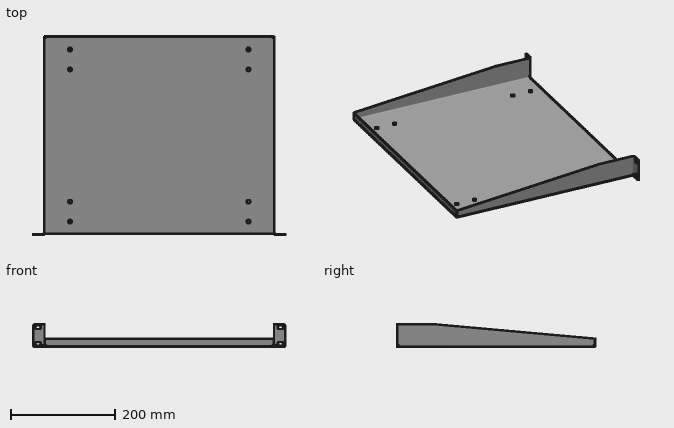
import cadquery as cq

overall_width = 482.8
overall_depth = 381.0
overall_height = 43.5

sheet = 1.5
inner_bend = 2.0
outer_bend = inner_bend + sheet

tray_half_width = 221.0
floor_front = 2.0
rear_height = 16.0
level_top_depth = 74.0
corner_setback = 2.0

ear_corner_radius = 3.5
slot_length = 10.5
slot_width = 6.5
slot_x = 232.0
slot_pitch = 32.0

hole_diameter = 6.5
hole_x = 171.0
hole_front_y = 25.5
hole_pitch = 38.0
hole_group_spacing = 291.5

half_width = overall_width / 2
floor_half_width = tray_half_width - outer_bend
floor_rear = overall_depth - outer_bend
wall_rear = overall_depth - corner_setback
wall_inner_x = tray_half_width - sheet
ear_start_x = wall_inner_x + outer_bend


def bend(plane, center, direction, length):
    """Quarter-ring bend in the quadrant given by direction, extruded along the plane normal."""
    u_sign, v_sign = direction
    ring = cq.Workplane(plane).circle(outer_bend).circle(inner_bend).extrude(length)
    quadrant = (
        cq.Workplane(plane)
        .center(u_sign * outer_bend / 2, v_sign * outer_bend / 2)
        .rect(outer_bend, outer_bend)
        .extrude(length)
    )
    return ring.intersect(quadrant).translate(center)


def make_floor():
    depth = floor_rear - floor_front
    return cq.Workplane("XY").box(2 * floor_half_width, depth, sheet, centered=(True, False, False)).translate(
        (0, floor_front, 0)
    )


def make_rear_wall():
    """Low upright wall and the bend joining it to the floor."""
    wall_width = 2 * (tray_half_width - corner_setback)
    wall = (
        cq.Workplane("XY")
        .box(wall_width, sheet, rear_height - outer_bend, centered=(True, False, False))
        .translate((0, overall_depth - sheet, outer_bend))
    )
    wall_bend = bend("YZ", (-floor_half_width, floor_rear, outer_bend), (1, -1), 2 * floor_half_width)
    return wall.union(wall_bend)


def make_right_wall():
    """Side wall with a sloping top edge, and the bend joining it to the floor."""
    slope = (overall_height - rear_height) / (overall_depth - level_top_depth)
    wall_rear_height = rear_height + slope * corner_setback
    wall = (
        cq.Workplane("YZ")
        .polyline([
            (outer_bend, outer_bend),
            (wall_rear, outer_bend),
            (wall_rear, wall_rear_height),
            (level_top_depth, overall_height),
            (outer_bend, overall_height),
        ])
        .close()
        .extrude(sheet)
        .translate((wall_inner_x, 0, 0))
    )
    wall_bend = bend("XZ", (floor_half_width, floor_rear, outer_bend), (1, -1), floor_rear - floor_front)
    return wall.union(wall_bend)


def make_right_ear():
    """Slotted front ear and the upright bend joining it to the side wall."""
    plate = (
        cq.Workplane("XY")
        .box(half_width - ear_start_x, sheet, overall_height, centered=False)
        .translate((ear_start_x, 0, 0))
        .edges("|Y and >X")
        .fillet(ear_corner_radius)
    )
    slots = (
        cq.Workplane("XZ")
        .center(slot_x, overall_height / 2)
        .rarray(5, slot_pitch, 1, 2)
        .slot2D(slot_length, slot_width)
        .extrude(-sheet)
    )
    ear_bend = bend("XY", (ear_start_x, outer_bend, outer_bend), (-1, -1), overall_height - outer_bend)
    return plate.cut(slots).union(ear_bend)


def make_floor_holes():
    """Two pairs of through holes near each side, one at the front and one at the rear."""
    points = [
        (side * hole_x, hole_front_y + group * hole_group_spacing + row * hole_pitch)
        for side in (-1, 1)
        for group in (0, 1)
        for row in (0, 1)
    ]
    return cq.Workplane("XY").pushPoints(points).circle(hole_diameter / 2).extrude(sheet)


right_side = make_right_wall().union(make_right_ear())
left_side = right_side.mirror("YZ")

result = make_floor().cut(make_floor_holes()).union(make_rear_wall()).union(right_side).union(left_side)